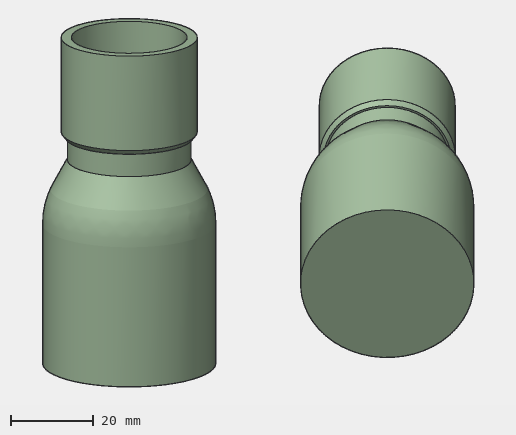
import cadquery as cq
import math

body_diameter = 42.0
shoulder_diameter = 38.05
neck_diameter = 30.0
collar_chamfer_diameter = 31.0
collar_diameter = 33.0
bore_diameter = 28.0

body_top = 35.1
shoulder_top = 43.8
cone_top = 51.25
collar_bottom = 57.0
chamfer_top = 58.2
total_height = 82.0

bore_depth = total_height - collar_bottom

body_radius = body_diameter / 2
shoulder_radius = shoulder_diameter / 2
neck_radius = neck_diameter / 2
collar_chamfer_radius = collar_chamfer_diameter / 2
collar_radius = collar_diameter / 2

shoulder_rise = shoulder_top - body_top
shoulder_inset = body_radius - shoulder_radius
arc_radius = (shoulder_rise**2 + shoulder_inset**2) / (2 * shoulder_inset)
half_sweep = math.asin(shoulder_rise / arc_radius) / 2
arc_middle = (
    body_radius - arc_radius * (1 - math.cos(half_sweep)),
    body_top + arc_radius * math.sin(half_sweep),
)

outside = (
    cq.Workplane("XZ")
    .moveTo(0, 0)
    .lineTo(body_radius, 0)
    .lineTo(body_radius, body_top)
    .threePointArc(arc_middle, (shoulder_radius, shoulder_top))
    .lineTo(neck_radius, cone_top)
    .lineTo(neck_radius, collar_bottom)
    .lineTo(collar_chamfer_radius, collar_bottom)
    .lineTo(collar_radius, chamfer_top)
    .lineTo(collar_radius, total_height)
    .lineTo(0, total_height)
    .close()
    .revolve(360, (0, 0), (0, 1))
)

bore = (
    cq.Workplane("XY")
    .workplane(offset=total_height - bore_depth)
    .circle(bore_diameter / 2)
    .extrude(bore_depth)
)

result = outside.cut(bore)